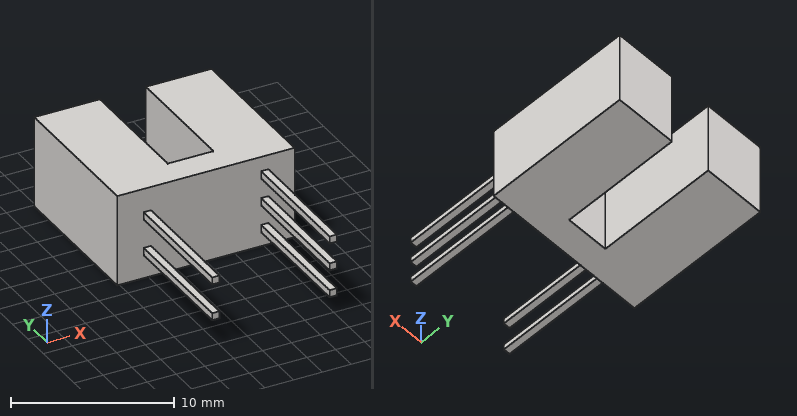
import cadquery as cq

overall_depth = 19.68

body_width = 12.32
body_depth = 10.78
body_height = 6.35
slot_width = 3.17
slot_floor = 1.99

lead_length = overall_depth - body_depth
lead_side = 0.51
row_spacing = 8.15
left_pitch = 2.54
right_pitch = 1.9


def make_housing():
    """Block with its front face on Y = 0, centred in X and Z."""
    block = cq.Workplane("XY").box(body_width, body_depth, body_height, centered=(True, False, True))
    slot = (
        cq.Workplane("XY")
        .box(slot_width, body_depth - slot_floor, body_height, centered=(True, False, True))
        .translate((0, slot_floor, 0))
    )
    return block.cut(slot)


def make_lead_row(x, count, pitch):
    """Vertical row of leads, centred on Z = 0 and running toward -Y."""
    return (
        cq.Workplane("XZ", origin=(x, 0, 0))
        .rarray(pitch, pitch, 1, count)
        .rect(lead_side, lead_side)
        .extrude(lead_length)
    )


left_leads = make_lead_row(-row_spacing / 2, 2, left_pitch)
right_leads = make_lead_row(row_spacing / 2, 3, right_pitch)
result = make_housing().union(left_leads).union(right_leads)